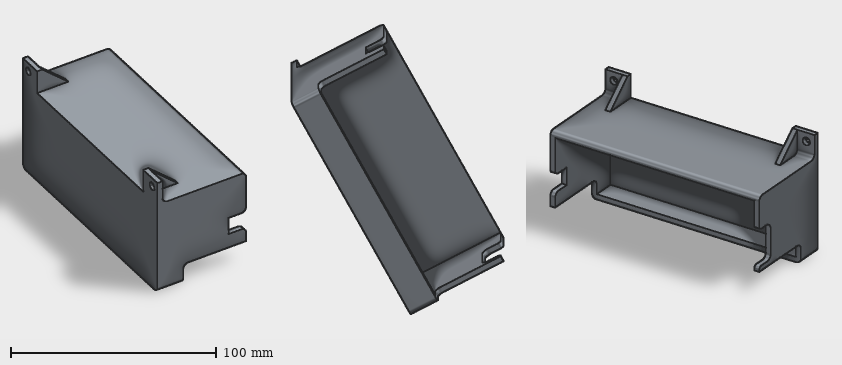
import cadquery as cq

length = 123.0
depth = 51.0
height = 65.6
wall = 3.0
round_radius = 3.0

roof_z = 52.5
foot_depth = 14.9
step_z = 11.2

ear_width = 13.0
hole_diameter = 4.2
hole_inset = 4.9
gusset_reach = 15.0

notch_depth = 10.1
notch_center_z = 24.1
left_notch_height = 20.2
right_notch_height = 9.6
left_lip_radius = 2.0
left_upper_inner_radius = 3.9
left_lower_inner_radius = 3.0
right_lip_radius = 3.0


def box(x0, x1, y0, y1, z0, z1):
    """Axis-aligned box between two opposite corners."""
    return cq.Workplane("XY").box(x1 - x0, y1 - y0, z1 - z0, centered=False).translate((x0, y0, z0))


def side_prism(points, x_start, width):
    """Extrude a closed (y, z) outline along +X."""
    return cq.Workplane("YZ", origin=(x_start, 0, 0)).polyline(points).close().extrude(width)


def make_shell():
    """Stepped cover, open at the rear and under the step, with its upper edge cut into ears."""
    outline = [
        (0, 0),
        (foot_depth, 0),
        (foot_depth, step_z),
        (depth, step_z),
        (depth, roof_z),
        (wall, roof_z),
        (wall, height),
        (0, height),
    ]
    body = side_prism(outline, 0, length)
    for y, z in [(foot_depth, step_z), (depth, roof_z), (wall, roof_z)]:
        edge = cq.selectors.NearestToPointSelector((length / 2, y, z))
        body = body.edges("|X").edges(edge).fillet(round_radius)
    body = body.edges("|Y and <Z").edges("<X or >X").fillet(round_radius)

    cavity = box(wall, length - wall, wall, depth, wall, roof_z - wall)
    ear_gap = box(ear_width, length - ear_width, 0, depth, roof_z, height)
    return body.cut(cavity).cut(ear_gap)


def make_gusset(x_start):
    """Triangular brace between an ear and the roof, sunk into both."""
    points = [
        (0, roof_z - wall),
        (wall + gusset_reach, roof_z - wall),
        (wall + gusset_reach, roof_z),
        (wall, height),
        (0, height),
    ]
    return side_prism(points, x_start, wall)


def cut_notch(body, x_start, notch_height, lip_radius, inner_radii=()):
    """Cut a rear notch through one end wall; inner_radii rounds its lower and upper inner corners."""
    low = notch_center_z - notch_height / 2
    high = notch_center_z + notch_height / 2
    floor_y = depth - notch_depth
    body = body.cut(box(x_start, x_start + wall, floor_y, depth, low, high))
    corners = [(depth, low, lip_radius), (depth, high, lip_radius)]
    corners += [(floor_y, z, radius) for z, radius in zip((low, high), inner_radii)]
    for y, z, radius in corners:
        edge = cq.selectors.NearestToPointSelector((x_start + wall / 2, y, z))
        body = body.edges("|X").edges(edge).fillet(radius)
    return body


result = make_shell()
for gusset_x in (ear_width - wall, length - ear_width):
    result = result.union(make_gusset(gusset_x))

left_inner_radii = (left_lower_inner_radius, left_upper_inner_radius)
result = cut_notch(result, 0, left_notch_height, left_lip_radius, left_inner_radii)
result = cut_notch(result, length - wall, right_notch_height, right_lip_radius)

for hole_x in (hole_inset, length - hole_inset):
    hole = cq.Workplane("XZ", origin=(hole_x, 0, height - hole_inset)).circle(hole_diameter / 2).extrude(-wall)
    result = result.cut(hole)